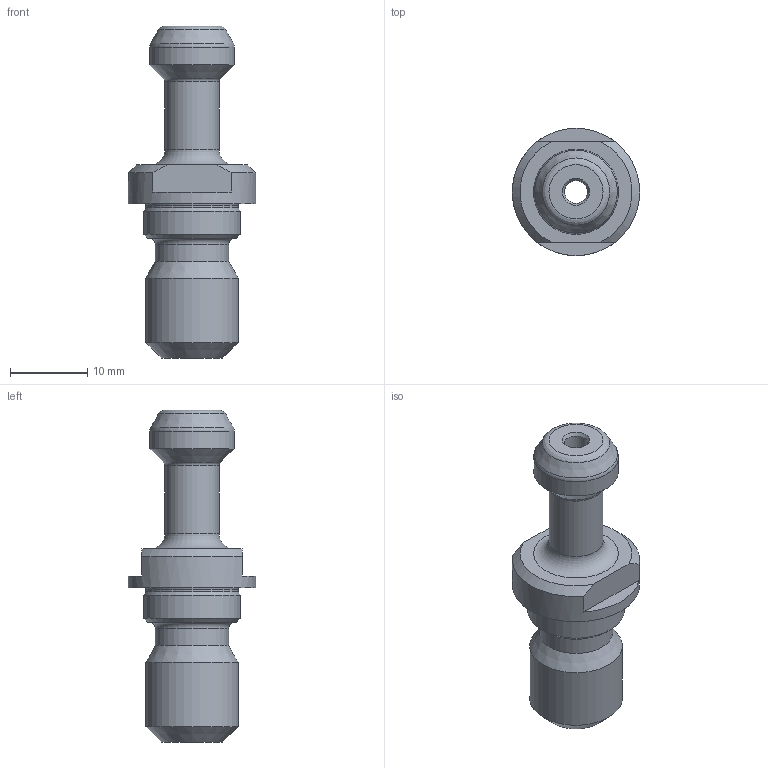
import cadquery as cq
import math

flange_thickness = 5.0
stud_length = 23.0
shank_length = 20.0

head_radius = 5.5
head_face_radius = 3.5
head_blend_radius = 1.0
head_cone_angle = math.radians(30)
head_underside_depth = 5.0

neck_radius = 3.5
neck_top_fillet = 0.5
neck_bottom_fillet = 2.0

flange_radius = 8.25
flange_chamfer = 1.0
flats_width = 13.0
flats_floor_height = 1.5

pilot_radius = 6.25
pilot_top_depth = 1.0
pilot_bottom_depth = 4.0
pilot_chamfer = 0.5
relief_radius = 6.0
relief_cone_angle = math.radians(30)
relief_arc_radius = 0.5
relief_arc_deg = 30

undercut_radius = 4.75
undercut_fillet = 0.75
undercut_bottom_depth = 7.5
shank_radius = 6.0
shank_cone_angle = math.radians(30)
shank_chamfer = 2.0

bore_diameter = 3.0
bore_mouth_diameter = 3.5
bore_mouth_angle = math.radians(30)


def arc(profile, center, radius, start_deg, end_deg):
    """Add an arc about center, from the current point at start_deg to end_deg."""
    def point(angle_deg):
        angle = math.radians(angle_deg)
        return center[0] + radius * math.cos(angle), center[1] + radius * math.sin(angle)

    return profile.threePointArc(point((start_deg + end_deg) / 2), point(end_deg))


def add_head(profile):
    """Trace the head from the axis to the start of the neck."""
    cone_deg = math.degrees(head_cone_angle)
    upper_center = (head_face_radius, stud_length - head_blend_radius)
    lower_center_x = head_radius - head_blend_radius
    lower_center_drop = (lower_center_x - head_face_radius) / math.tan(head_cone_angle)
    lower_center = (lower_center_x, upper_center[1] - lower_center_drop)
    cone_end = (
        lower_center[0] + head_blend_radius * math.cos(head_cone_angle),
        lower_center[1] + head_blend_radius * math.sin(head_cone_angle),
    )
    profile = profile.moveTo(0, stud_length).lineTo(head_face_radius, stud_length)
    profile = arc(profile, upper_center, head_blend_radius, 90, cone_deg)
    profile = profile.lineTo(*cone_end)
    profile = arc(profile, lower_center, head_blend_radius, cone_deg, 0)

    underside_angle = math.radians(45)
    underside = stud_length - head_underside_depth
    corner = underside - (head_radius - neck_radius)
    tangent = neck_top_fillet * math.tan(underside_angle / 2)
    fillet_center = (neck_radius + neck_top_fillet, corner - tangent)
    fillet_offset = tangent * math.sin(underside_angle)
    profile = profile.lineTo(head_radius, underside)
    profile = profile.lineTo(neck_radius + fillet_offset, corner + fillet_offset)
    return arc(profile, fillet_center, neck_top_fillet, 135, 180)


def add_neck_and_flange(profile):
    """Trace the neck, its lower fillet and the chamfered flange."""
    fillet_center = (neck_radius + neck_bottom_fillet, flange_thickness + neck_bottom_fillet)
    profile = profile.lineTo(neck_radius, fillet_center[1])
    profile = arc(profile, fillet_center, neck_bottom_fillet, 180, 270)
    profile = profile.lineTo(flange_radius - flange_chamfer, flange_thickness)
    profile = profile.lineTo(flange_radius, flange_thickness - flange_chamfer)
    return profile.lineTo(flange_radius, 0)


def add_relief_and_pilot(profile):
    """Trace the relief groove and the pilot collar."""
    relief_arc_height = relief_arc_radius * math.sin(math.radians(relief_arc_deg))
    arc_center = (relief_radius + relief_arc_radius, -relief_arc_height)
    arc_start_deg = 180 - relief_arc_deg
    profile = profile.lineTo(
        arc_center[0] + relief_arc_radius * math.cos(math.radians(arc_start_deg)), 0
    )
    profile = arc(profile, arc_center, relief_arc_radius, arc_start_deg, 180)
    cone_height = (pilot_radius - relief_radius) / math.tan(relief_cone_angle)
    profile = profile.lineTo(relief_radius, cone_height - pilot_top_depth)
    profile = profile.lineTo(pilot_radius, -pilot_top_depth)
    profile = profile.lineTo(pilot_radius, -pilot_bottom_depth)
    return profile.lineTo(pilot_radius - pilot_chamfer, -pilot_bottom_depth - pilot_chamfer)


def add_shank(profile):
    """Trace the undercut and the shank back to the axis."""
    pilot_end = -pilot_bottom_depth - pilot_chamfer
    fillet_center = (undercut_radius + undercut_fillet, pilot_end - undercut_fillet)
    cone_height = (shank_radius - undercut_radius) / math.tan(shank_cone_angle)
    profile = profile.lineTo(fillet_center[0], pilot_end)
    profile = arc(profile, fillet_center, undercut_fillet, 90, 180)
    profile = profile.lineTo(undercut_radius, -undercut_bottom_depth)
    profile = profile.lineTo(shank_radius, -undercut_bottom_depth - cone_height)
    profile = profile.lineTo(shank_radius, shank_chamfer - shank_length)
    profile = profile.lineTo(shank_radius - shank_chamfer, -shank_length)
    return profile.lineTo(0, -shank_length)


def make_body():
    """Revolve the full outline about the Z axis."""
    profile = cq.Workplane("XZ")
    for add_section in (add_head, add_neck_and_flange, add_relief_and_pilot, add_shank):
        profile = add_section(profile)
    return profile.close().revolve(360, (0, 0, 0), (0, 1, 0))


def cut_wrench_flats(body):
    """Mill a flat on the -Y and +Y sides of the flange, leaving a rim below."""
    flat_height = flange_thickness - flats_floor_height
    flat_depth = flange_radius - flats_width / 2
    for side in (-1, 1):
        cutter = (
            cq.Workplane("XY", origin=(0, side * (flats_width + flat_depth) / 2, flats_floor_height))
            .box(2 * flange_radius, flat_depth, flat_height, centered=(True, True, False))
        )
        body = body.cut(cutter)
    return body


def cut_bore(body):
    """Drill the through bore and countersink its top edge."""
    mouth_width = (bore_mouth_diameter - bore_diameter) / 2
    mouth_depth = mouth_width / math.tan(bore_mouth_angle)
    bore_radius = bore_diameter / 2
    cutter = (
        cq.Workplane("XZ")
        .moveTo(0, stud_length)
        .lineTo(bore_radius + mouth_width, stud_length)
        .lineTo(bore_radius, stud_length - mouth_depth)
        .lineTo(bore_radius, -shank_length)
        .lineTo(0, -shank_length)
        .close()
        .revolve(360, (0, 0, 0), (0, 1, 0))
    )
    return body.cut(cutter)


result = cut_bore(cut_wrench_flats(make_body()))